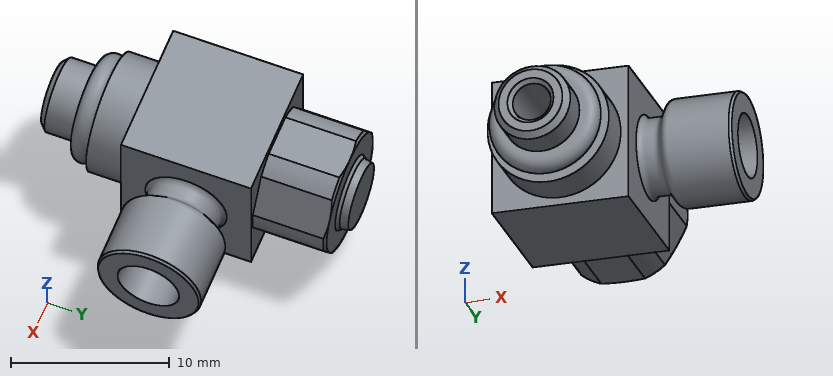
import cadquery as cq
import math

block_width = 9.0
block_length = 8.8
block_face_x = block_width / 2
block_face_y = block_length / 2

collar_radius = 4.0
collar_length = 2.56
seal_tube_radius = 0.75
seal_ring_radius = 2.9
seal_offset = 0.67
stem_radius = 2.5
stem_chamfer = 0.4
stem_end_y = -10.75
bore_radius = 1.25
bore_chamfer = 0.27

nut_across_flats = 8.0
nut_corner_radius = 4.25
nut_length = 4.92
nut_chamfer_angle = 30
tip_length = 0.77
tip_flare_length = 0.23
tip_flare_radius = 2.55
tip_base_radius = 2.35
tip_end_radius = 2.23

port_end_x = 11.0
port_radius = 3.5
neck_radius = 2.5
neck_length = 0.63
neck_blend_run = 0.44
blend_radius = 0.5
shoulder_end_x = 6.75
port_chamfer_length = 0.19
port_chamfer_depth = 0.1
cross_bore_radius = 2.08


def y_cylinder(radius, start_y, end_y):
    """Cylinder on the Y axis between two Y positions."""
    return cq.Workplane("XZ", origin=(0, end_y, 0)).circle(radius).extrude(end_y - start_y)


def make_stem():
    """Collar, seal ring and chamfered stem."""
    collar_end_y = -block_face_y - collar_length
    seal_y = collar_end_y - seal_offset
    collar = y_cylinder(collar_radius, collar_end_y, 0)
    stem = y_cylinder(stem_radius, stem_end_y, 0).faces("<Y").chamfer(stem_chamfer)
    ring_core = y_cylinder(seal_ring_radius, seal_y - seal_tube_radius, collar_end_y)
    ring = cq.Workplane("XY").add(
        cq.Solid.makeTorus(seal_ring_radius, seal_tube_radius, cq.Vector(0, seal_y, 0), cq.Vector(0, 1, 0))
    )
    return collar.union(stem).union(ring_core).union(ring)


def make_nut():
    """Hexagon with turned corners, chamfered end and a flared tip."""
    nut_end_y = block_face_y + nut_length
    hexagon_diameter = nut_across_flats / math.cos(math.radians(30))
    hexagon = (
        cq.Workplane("XZ", origin=(0, nut_end_y, 0))
        .polygon(6, hexagon_diameter)
        .extrude(nut_end_y)
    )
    chamfer_depth = nut_corner_radius - nut_across_flats / 2
    chamfer_length = chamfer_depth * math.tan(math.radians(nut_chamfer_angle))
    turned_blank = y_cylinder(nut_corner_radius, 0, nut_end_y)
    turned_blank = turned_blank.faces(">Y").chamfer(chamfer_length, chamfer_depth)

    flare_end_y = nut_end_y + tip_flare_length
    tip_end_y = nut_end_y + tip_length
    tip = (
        cq.Workplane("XY")
        .moveTo(0, 0)
        .lineTo(tip_flare_radius, 0)
        .lineTo(tip_flare_radius, nut_end_y)
        .lineTo(tip_base_radius, flare_end_y)
        .lineTo(tip_end_radius, tip_end_y)
        .lineTo(0, tip_end_y)
        .close()
        .revolve(360, (0, 0, 0), (0, 1, 0))
    )
    return hexagon.intersect(turned_blank).union(tip)


def make_port():
    """Necked cylinder whose shoulder is a cone with a tangent arc at each end."""
    blend_angle = math.asin(neck_blend_run / blend_radius)
    blend_rise = blend_radius * (1 - math.cos(blend_angle))
    half_run = blend_radius * math.sin(blend_angle / 2)
    half_rise = blend_radius * (1 - math.cos(blend_angle / 2))
    neck_start_x = block_face_x + neck_blend_run
    neck_end_x = neck_start_x + neck_length
    cone_start_radius = neck_radius + blend_rise
    cone_end_radius = port_radius - blend_rise
    profile = (
        cq.Workplane("XY")
        .moveTo(0, 0)
        .lineTo(0, cone_start_radius)
        .lineTo(block_face_x, cone_start_radius)
        .threePointArc((neck_start_x - half_run, neck_radius + half_rise), (neck_start_x, neck_radius))
        .lineTo(neck_end_x, neck_radius)
        .threePointArc(
            (neck_end_x + half_run, neck_radius + half_rise),
            (neck_end_x + neck_blend_run, cone_start_radius),
        )
        .lineTo(shoulder_end_x - neck_blend_run, cone_end_radius)
        .threePointArc(
            (shoulder_end_x - half_run, port_radius - half_rise),
            (shoulder_end_x, port_radius),
        )
        .lineTo(port_end_x - port_chamfer_length, port_radius)
        .lineTo(port_end_x, port_radius - port_chamfer_depth)
        .lineTo(port_end_x, 0)
        .close()
    )
    return profile.revolve(360, (0, 0, 0), (1, 0, 0))


def make_bores():
    """Chamfered stem bore meeting a cross bore that opens at the port end."""
    mouth_radius = bore_radius + bore_chamfer
    stem_bore = (
        cq.Workplane("XY")
        .moveTo(0, stem_end_y)
        .lineTo(mouth_radius, stem_end_y)
        .lineTo(bore_radius, stem_end_y + bore_chamfer)
        .lineTo(bore_radius, 0)
        .lineTo(0, 0)
        .close()
        .revolve(360, (0, 0, 0), (0, 1, 0))
    )
    cross_bore_start_x = -bore_radius
    cross_bore = (
        cq.Workplane("YZ", origin=(cross_bore_start_x, 0, 0))
        .circle(cross_bore_radius)
        .extrude(port_end_x - cross_bore_start_x)
    )
    return stem_bore.union(cross_bore)


block = cq.Workplane("XY").box(block_width, block_length, block_width)
result = block.union(make_stem()).union(make_nut()).union(make_port()).cut(make_bores())